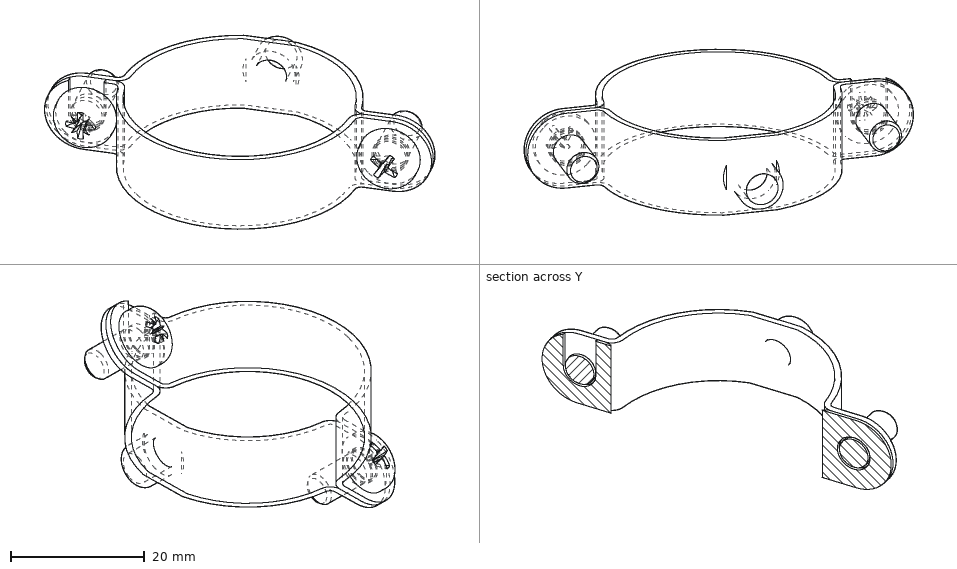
import cadquery as cq
import math


overall_length = 60.0
ear_tip_x = overall_length / 2
strap_width = 12.05
strap_thickness = 1.0
ring_inner_radius = 17.45
ring_outer_radius = ring_inner_radius + strap_thickness
ear_bend_inner_radius = 1.0
ear_bend_outer_radius = ear_bend_inner_radius + strap_thickness

ear_bend_y = ear_bend_outer_radius
ear_bend_x = math.sqrt((ring_outer_radius + ear_bend_inner_radius) ** 2 - ear_bend_y ** 2)
ear_bend_angle = math.degrees(math.atan2(ear_bend_y, ear_bend_x))

seat_half_width = 3.9
seat_bend_width = 0.35
ring_end_x = seat_half_width + seat_bend_width

boss_diameter = 7.0
boss_top_y = 24.0
boss_top_fillet = 1.0
boss_root_fillet = 0.85
bore_diameter = 4.9
bore_mouth_diameter = 7.0

screw_x = 23.5
shank_diameter = 5.0
shank_end_diameter = 4.15
shank_end_y = 9.0
shank_chamfer_length = 0.55
head_diameter = 9.5
head_height = 3.65
dome_radius = 7.45
head_edge_fillet = 1.6
clearance_diameter = 5.5

recess_diameter = 5.15
recess_floor_diameter = 1.45
recess_depth = 2.4
recess_point_depth = 0.6
recess_arm_width = 0.9
recess_arm_taper = 4.0
recess_ray_length = 1.9
recess_ray_width = 0.85
phillips_turn = 34.0


def polar(radius, angle, center=(0.0, 0.0)):
    """Point at a radius and an angle in degrees from a centre."""
    turn = math.radians(angle)
    return (center[0] + radius * math.cos(turn), center[1] + radius * math.sin(turn))


def seat_y(ring_radius):
    """Height of a seat face, joined to the ring by an arc tangent to both."""
    ring_slope = math.asin(ring_end_x / ring_radius)
    ring_end_y = ring_radius * math.cos(ring_slope)
    return ring_end_y + seat_bend_width * math.tan(ring_slope / 2)


def block_under_face(ear_y, bend_radius, ring_radius, has_seat):
    """Block on the +X side, bounded above by one face of the strap."""
    bend_center = (ear_bend_x, ear_bend_y)
    bend_end_angle = 180 + ear_bend_angle
    bend_middle_angle = (270 + bend_end_angle) / 2
    if has_seat:
        ring_end_angle = math.degrees(math.acos(ring_end_x / ring_radius))
    else:
        ring_end_angle = 90
    ring_middle_angle = (ear_bend_angle + ring_end_angle) / 2

    outline = (
        cq.Workplane("XY", origin=(0, 0, -strap_width / 2))
        .moveTo(0, -strap_thickness)
        .lineTo(ear_tip_x, -strap_thickness)
        .lineTo(ear_tip_x, ear_y)
        .lineTo(ear_bend_x, ear_y)
        .threePointArc(
            polar(bend_radius, bend_middle_angle, bend_center),
            polar(bend_radius, bend_end_angle, bend_center),
        )
        .threePointArc(polar(ring_radius, ring_middle_angle), polar(ring_radius, ring_end_angle))
    )
    if has_seat:
        seat_face_y = seat_y(ring_radius)
        outline = outline.tangentArcPoint((seat_half_width, seat_face_y), relative=False)
        outline = outline.lineTo(0, seat_face_y)
    return outline.close().extrude(strap_width)


def make_strap(has_seat):
    """Half ring with two round-ended ears, on the +Y side of the ear plane."""
    outer_block = block_under_face(
        strap_thickness, ear_bend_inner_radius, ring_outer_radius, has_seat
    )
    inner_block = block_under_face(0, ear_bend_outer_radius, ring_inner_radius, has_seat)
    half = outer_block.cut(inner_block)
    strap = half.union(half.mirror("YZ"))
    rounded_ends = (
        cq.Workplane("XZ").slot2D(overall_length, strap_width).extrude(overall_length, both=True)
    )
    return strap.intersect(rounded_ends)


def ear_hole(x, diameter):
    """Cutter for a round hole through both ears, along Y."""
    return (
        cq.Workplane("XZ")
        .center(x, 0)
        .circle(diameter / 2)
        .extrude(2 * strap_thickness, both=True)
    )


def make_boss():
    """Outer form of the boss: round top edge and a root that flares onto the seat."""
    boss_radius = boss_diameter / 2
    seat_face_y = seat_y(ring_outer_radius)
    base_y = seat_face_y - strap_thickness
    root_radius = boss_radius + boss_root_fillet
    root_center = (root_radius, seat_face_y + boss_root_fillet)
    return (
        cq.Workplane("XY")
        .moveTo(0, base_y)
        .lineTo(boss_radius, base_y)
        .lineTo(boss_radius, seat_face_y)
        .lineTo(root_radius, seat_face_y)
        .threePointArc(
            polar(boss_root_fillet, 225, root_center), polar(boss_root_fillet, 180, root_center)
        )
        .lineTo(boss_radius, boss_top_y)
        .lineTo(0, boss_top_y)
        .close()
        .revolve(360, (0, 0), (0, 1))
        .faces(">Y")
        .edges()
        .fillet(boss_top_fillet)
    )


def make_bore():
    """Cutter for the bore through the boss, with a rounded mouth inside the ring."""
    bore_radius = bore_diameter / 2
    mouth_radius = bore_mouth_diameter / 2
    mouth_fillet = mouth_radius - bore_radius
    mouth_y = seat_y(ring_inner_radius)
    fillet_center = (mouth_radius, mouth_y + mouth_fillet)
    return (
        cq.Workplane("XY")
        .moveTo(0, mouth_y)
        .lineTo(mouth_radius, mouth_y)
        .threePointArc(
            polar(mouth_fillet, 225, fillet_center), polar(mouth_fillet, 180, fillet_center)
        )
        .lineTo(bore_radius, boss_top_y)
        .lineTo(0, boss_top_y)
        .close()
        .revolve(360, (0, 0), (0, 1))
    )


def make_rear_strap():
    """Strap with the boss on its seat and a screw hole in each ear."""
    strap = make_strap(has_seat=True).union(make_boss()).cut(make_bore())
    for x in (-screw_x, screw_x):
        strap = strap.cut(ear_hole(x, shank_diameter))
    return strap


def head_seat(x):
    """Cutter for the recess that the rim of a screw head needs in the ear bend."""
    return (
        cq.Workplane("XZ", origin=(x, -strap_thickness, 0))
        .circle(head_diameter / 2)
        .extrude(head_height)
    )


def make_front_strap():
    """Strap with a clearance hole in one ear and a slot, open at the top, in the other."""
    strap = make_strap(has_seat=False).mirror("XZ")
    open_slot = (
        cq.Workplane("XZ")
        .center(-screw_x, strap_width / 2)
        .rect(clearance_diameter, strap_width)
        .extrude(2 * strap_thickness, both=True)
    )
    return (
        strap.cut(ear_hole(screw_x, clearance_diameter))
        .cut(ear_hole(-screw_x, clearance_diameter))
        .cut(open_slot)
        .cut(head_seat(-screw_x))
        .cut(head_seat(screw_x))
    )


def make_screw_blank():
    """Screw without its recess, on the Y axis, with the head under the front ears."""
    seat = -strap_thickness
    dome_top_y = seat - head_height
    head_radius = head_diameter / 2
    dome_edge_y = dome_top_y + dome_radius - math.sqrt(dome_radius ** 2 - head_radius ** 2)
    dome_middle = polar(
        dome_radius,
        math.degrees(math.asin(head_radius / dome_radius)) / 2 - 90,
        (0, dome_top_y + dome_radius),
    )
    head = (
        cq.Workplane("XY")
        .moveTo(0, seat)
        .lineTo(head_radius, seat)
        .lineTo(head_radius, dome_edge_y)
        .threePointArc(dome_middle, (0, dome_top_y))
        .close()
        .revolve(360, (0, 0), (0, 1))
        .faces("<Y")
        .edges("%CIRCLE")
        .fillet(head_edge_fillet)
    )
    shank = (
        cq.Workplane("XY")
        .moveTo(0, seat)
        .lineTo(shank_diameter / 2, seat)
        .lineTo(shank_diameter / 2, shank_end_y - shank_chamfer_length)
        .lineTo(shank_end_diameter / 2, shank_end_y)
        .lineTo(0, shank_end_y)
        .close()
        .revolve(360, (0, 0), (0, 1))
    )
    return head.union(shank)


def make_recess(has_rays):
    """Cutter for a cross recess, narrowing to a point, with rays between the arms if asked."""
    mouth_y = -strap_thickness - head_height
    floor_y = mouth_y + recess_depth
    point_y = floor_y + recess_point_depth
    full_depth = point_y - mouth_y
    mouth = cq.Workplane("XZ", origin=(0, mouth_y, 0))
    cone = (
        cq.Workplane("XY")
        .moveTo(0, mouth_y)
        .lineTo(recess_diameter / 2, mouth_y)
        .lineTo(recess_floor_diameter / 2, floor_y)
        .lineTo(0, point_y)
        .close()
        .revolve(360, (0, 0), (0, 1))
    )
    cross_arm = mouth.rect(2 * recess_diameter, recess_arm_width).extrude(
        -full_depth, taper=recess_arm_taper
    )
    arms = (
        cross_arm.union(cross_arm.rotate((0, 0, 0), (0, 1, 0), 90))
        .union(mouth.circle(recess_floor_diameter / 2).extrude(-full_depth))
    )
    if has_rays:
        half_ray = recess_ray_width / 2
        ray_tip = recess_ray_length
        star = (
            mouth.transformed(rotate=(0, 0, 45))
            .polyline([(ray_tip, 0), (0, half_ray), (-ray_tip, 0), (0, -half_ray)])
            .close()
            .extrude(-full_depth)
        )
        arms = arms.union(star).union(star.rotate((0, 0, 0), (0, 1, 0), 90))
    return cone.intersect(arms)


def make_screw(x, has_rays, turn):
    """Complete screw at a place along X, turned about its axis."""
    screw = make_screw_blank().cut(make_recess(has_rays))
    return screw.rotate((0, 0, 0), (0, 1, 0), turn).translate((x, 0, 0))


rear_strap = make_rear_strap()
front_strap = make_front_strap()
screws = [
    make_screw(x, has_rays, turn)
    for x, has_rays, turn in ((-screw_x, True, 0), (screw_x, False, phillips_turn))
]

result = cq.Compound.makeCompound(
    [rear_strap.val(), front_strap.val(), *[screw.val() for screw in screws]]
)